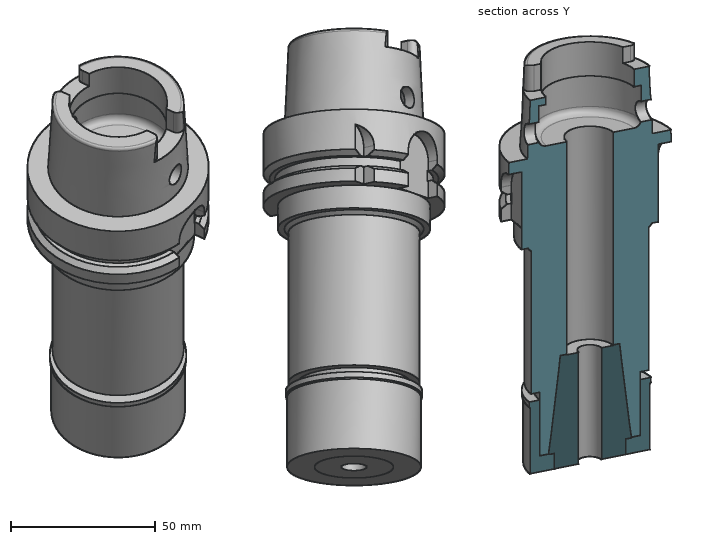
import cadquery as cq
import math

top_z = 152.0
flange_top_z = 120.1
upper_flange_bottom_z = 105.6
groove_top_z = 104.0
groove_bottom_z = 100.3
lower_flange_top_z = 98.8
flange_bottom_z = 94.1
collar_edge_z = 85.9
collar_chamfer_bottom_z = 84.5
column_bottom_z = 30.2
nut_top_z = 27.5

cone_top_radius = 22.8
cone_base_radius = 24.3
flange_radius = 31.5
groove_radius = 27.5
groove_rim_radius = 29.3
collar_radius = 26.5
collar_chamfer_radius = 24.2
column_radius = 22.8
neck_radius = 19.6
rim_fillet = 1.0

mouth_radius = 17.0
mouth_depth = 12.9
chamber_radius = 19.8
chamber_floor_z = 123.5
chamber_fillet = 2.7
drawbar_hole_radius = 9.0
cross_hole_radius = 3.8
cross_hole_z = 129.2

keyway_half_width = 6.2
keyway_flare_radius = 2.5
keyway_flat_x = 21.1
shallow_keyway_depth = 6.1
deep_keyway_depth = 9.9

slot_radius = 8.0
slot_top_z = 115.4
slot_floor_x = 26.5
notch_center_y = 27.8
notch_floor_x = 19.9

nut_radius = 23.3
nut_lip_radius = 23.7
nut_lip_edge_z = 25.5
nut_lip_bottom_z = 25.1
nut_wall_height = 6.1

collet_top_z = 42.5
collet_top_radius = 11.4
collet_wide_radius = 16.0
collet_nose_radius = 13.7
collet_hole_radius = 4.4

cutter_reach = flange_radius + 1.5


def revolve(points):
    """Turn a (radius, height) outline, drawn on the -Y side, around the Z axis."""
    half_plane = cq.Plane(origin=(0, 0, 0), xDir=(0, -1, 0), normal=(-1, 0, 0))
    return cq.Workplane(half_plane).polyline(points).close().revolve(360, (0, 0, 0), (0, 1, 0))


def cylinder(radius, bottom_z, end_z):
    return cq.Workplane("XY").workplane(offset=bottom_z).circle(radius).extrude(end_z - bottom_z)


def holder_blank():
    cone = revolve([
        (0, flange_top_z),
        (cone_base_radius, flange_top_z),
        (cone_top_radius, top_z),
        (0, top_z),
    ])
    cone = cone.faces(">Z").edges().fillet(rim_fillet)
    shank = revolve([
        (0, flange_top_z),
        (flange_radius, flange_top_z),
        (flange_radius, upper_flange_bottom_z),
        (groove_rim_radius, groove_top_z),
        (groove_radius, groove_top_z),
        (groove_radius, groove_bottom_z),
        (groove_rim_radius, groove_bottom_z),
        (flange_radius, lower_flange_top_z),
        (flange_radius, flange_bottom_z),
        (collar_radius, flange_bottom_z),
        (collar_radius, collar_edge_z),
        (collar_chamfer_radius, collar_edge_z),
        (column_radius, collar_chamfer_bottom_z),
        (column_radius, column_bottom_z),
        (neck_radius, column_bottom_z),
        (neck_radius, nut_wall_height),
        (0, nut_wall_height),
    ])
    return cone.union(shank)


def clamping_bore():
    """Bore under the rim, with a wider round-cornered chamber and the drawbar hole to the collet."""
    mouth_bottom_z = top_z - mouth_depth
    chamber = revolve([
        (0, chamber_floor_z),
        (chamber_radius, chamber_floor_z),
        (chamber_radius, mouth_bottom_z),
        (0, mouth_bottom_z),
    ])
    chamber = chamber.faces("<Z").edges().fillet(chamber_fillet)
    mouth = cylinder(mouth_radius, mouth_bottom_z, top_z)
    drawbar_hole = cylinder(drawbar_hole_radius, collet_top_z, chamber_floor_z)
    return chamber.union(mouth).union(drawbar_hole)


def keyway(side, depth):
    """Keyway in the cone rim on side +1 or -1 of X, with its mouth flared by two arcs."""
    flare_start_x = keyway_flat_x - keyway_flare_radius
    flare_y = keyway_half_width + keyway_flare_radius
    arc_offset = keyway_flare_radius * math.sin(math.radians(45))
    arc_x = flare_start_x + arc_offset
    arc_y = flare_y - arc_offset
    return (
        cq.Workplane("XY").workplane(offset=top_z - depth)
        .moveTo(0, -keyway_half_width)
        .lineTo(side * flare_start_x, -keyway_half_width)
        .threePointArc((side * arc_x, -arc_y), (side * keyway_flat_x, -flare_y))
        .lineTo(side * keyway_flat_x, -cone_base_radius)
        .lineTo(side * cutter_reach, -cone_base_radius)
        .lineTo(side * cutter_reach, cone_base_radius)
        .lineTo(side * keyway_flat_x, cone_base_radius)
        .lineTo(side * keyway_flat_x, flare_y)
        .threePointArc((side * arc_x, arc_y), (side * flare_start_x, keyway_half_width))
        .lineTo(0, keyway_half_width)
        .close()
        .extrude(depth)
    )


def arched_slot(side, center_y, floor_x):
    """Slot with a round top, open at the underside of the flange and flat at floor_x."""
    arch_center_z = slot_top_z - slot_radius
    return (
        cq.Workplane("YZ").workplane(offset=side * floor_x)
        .moveTo(center_y - slot_radius, flange_bottom_z)
        .lineTo(center_y - slot_radius, arch_center_z)
        .threePointArc((center_y, slot_top_z), (center_y + slot_radius, arch_center_z))
        .lineTo(center_y + slot_radius, flange_bottom_z)
        .close()
        .extrude(side * (cutter_reach - floor_x))
    )


def cross_hole():
    return (
        cq.Workplane("YZ").workplane(offset=-cutter_reach)
        .center(0, cross_hole_z)
        .circle(cross_hole_radius)
        .extrude(2 * cutter_reach)
    )


def make_collet():
    return revolve([
        (collet_hole_radius, 0),
        (collet_nose_radius, 0),
        (collet_nose_radius, nut_wall_height),
        (collet_wide_radius, nut_wall_height),
        (collet_top_radius, collet_top_z),
        (collet_hole_radius, collet_top_z),
    ])


def collet_socket():
    """Tapered seat in the holder that the collet fills."""
    return revolve([
        (0, nut_wall_height),
        (collet_wide_radius, nut_wall_height),
        (collet_top_radius, collet_top_z),
        (0, collet_top_z),
    ])


def make_holder():
    holder = holder_blank().cut(clamping_bore()).cut(collet_socket()).cut(cross_hole())
    holder = holder.cut(keyway(-1, shallow_keyway_depth)).cut(keyway(1, deep_keyway_depth))
    for side in (-1, 1):
        holder = holder.cut(arched_slot(side, 0, slot_floor_x))
    return holder.cut(arched_slot(-1, notch_center_y, notch_floor_x))


def make_nut():
    """Nut around the neck, with an end wall that holds the collet nose."""
    return revolve([
        (collet_nose_radius, 0),
        (nut_radius, 0),
        (nut_radius, nut_lip_bottom_z),
        (nut_lip_radius, nut_lip_edge_z),
        (nut_lip_radius, nut_top_z),
        (neck_radius, nut_top_z),
        (neck_radius, nut_wall_height),
        (collet_nose_radius, nut_wall_height),
    ])


holder = make_holder()
nut = make_nut()
collet = make_collet()
result = cq.Compound.makeCompound([holder.val(), nut.val(), collet.val()])